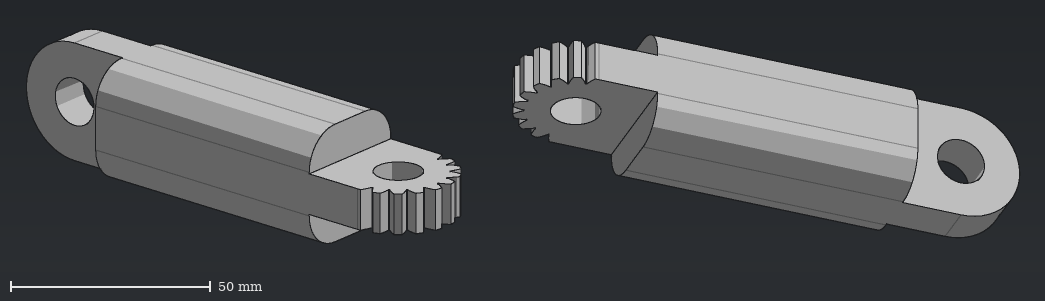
import cadquery as cq
import math

total_length = 133.2
width = 31.7
corner_radius = 10.0
hole_diameter = 12.6
plate_thickness = 10.9
shoulder_inset = 31.5

tooth_count = 18
tip_radius = width / 2
flank_radius = 14.6
root_radius = 12.9
tip_half_angle = 3.6
flank_half_angle = 6.2
root_half_angle = 9.4
tooth_pitch = 360 / tooth_count

first_tooth_angle = tooth_pitch / 2
gear_reach = tip_radius * math.cos(math.radians(first_tooth_angle - tip_half_angle))
gear_x = total_length - gear_reach
tongue_x = width / 2


def polar(radius, angle):
    """Point around the gear centre, with the angle in degrees."""
    theta = math.radians(angle)
    return (gear_x + radius * math.cos(theta), radius * math.sin(theta))


def make_body():
    """Rounded square bar between the two shoulders."""
    length = total_length - 2 * shoulder_inset
    bar = cq.Workplane("XY").box(length, width, width)
    bar = bar.edges("|X").fillet(corner_radius)
    return bar.translate((total_length / 2, 0, 0))


def make_arm(workplane, start_x, end_x):
    """Flat full-width arm centred on the given plane."""
    center_x = (start_x + end_x) / 2
    return (
        cq.Workplane(workplane)
        .workplane(offset=-plate_thickness / 2)
        .center(center_x, 0)
        .rect(end_x - start_x, width)
        .extrude(plate_thickness)
    )


def make_disc(workplane, center_x, diameter, thickness):
    """Cylinder centred on the given plane, for round ends and pin holes."""
    return (
        cq.Workplane(workplane)
        .workplane(offset=-thickness / 2)
        .center(center_x, 0)
        .circle(diameter / 2)
        .extrude(thickness)
    )


def make_gear():
    """Gear with curved flanks, with tooth tips flush with the sides of the link."""
    outline = cq.Workplane("XY").workplane(offset=-plate_thickness / 2)
    outline = outline.moveTo(*polar(root_radius, first_tooth_angle - root_half_angle))
    for index in range(tooth_count):
        middle = first_tooth_angle + index * tooth_pitch
        if index > 0:
            outline = outline.lineTo(*polar(root_radius, middle - root_half_angle))
        outline = (
            outline
            .threePointArc(
                polar(flank_radius, middle - flank_half_angle),
                polar(tip_radius, middle - tip_half_angle),
            )
            .threePointArc(
                polar(tip_radius, middle),
                polar(tip_radius, middle + tip_half_angle),
            )
            .threePointArc(
                polar(flank_radius, middle + flank_half_angle),
                polar(root_radius, middle + root_half_angle),
            )
        )
    return outline.close().extrude(plate_thickness)


tongue = make_arm("XZ", tongue_x, total_length / 2)
tongue = tongue.union(make_disc("XZ", tongue_x, width, plate_thickness))
gear_arm = make_arm("XY", total_length / 2, gear_x).union(make_gear())

result = (
    make_body()
    .union(tongue)
    .union(gear_arm)
    .cut(make_disc("XZ", tongue_x, hole_diameter, width))
    .cut(make_disc("XY", gear_x, hole_diameter, width))
)